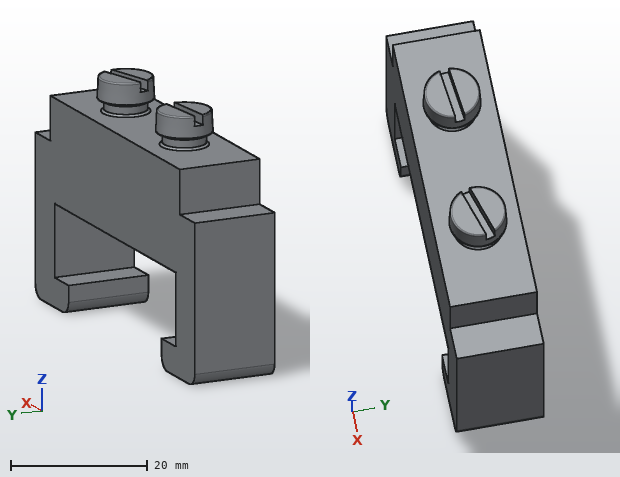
import cadquery as cq

length = 54.2
depth = 13.0
total_height = 37.25
body_height = 31.9
shoulder_height = 25.05
shoulder_width = 5.1
roof_height = 15.8
leg_thickness = 6.55
hook_width = 11.35
hook_height = 4.55
foot_radius = 2.0

screws = [(-9.95, 6.0), (9.9, 16.5)]
collar_diameter = 6.5
collar_height = 1.5
flare_diameter = 7.3
flare_height = 0.3
neck_diameter = 5.2
neck_height = 0.4
head_base_diameter = 8.45
head_top_diameter = 8.15
head_base_chamfer = 0.15
head_top_fillet = 0.2
slot_width = 1.4
slot_depth = 1.5


def make_body():
    half = length / 2
    right_side = [
        (half - shoulder_width, body_height),
        (half - shoulder_width, shoulder_height),
        (half, shoulder_height),
        (half, 0),
        (half - hook_width, 0),
        (half - hook_width, hook_height),
        (half - leg_thickness, hook_height),
        (half - leg_thickness, roof_height),
    ]
    left_side = [(-x, z) for x, z in reversed(right_side)]
    body = (
        cq.Workplane("XZ")
        .polyline(right_side + left_side)
        .close()
        .extrude(depth / 2, both=True)
    )
    return body.faces("<Z").edges("|Y").fillet(foot_radius)


def make_screw(x, slot_angle):
    top = total_height - body_height
    collar_radius = collar_diameter / 2
    neck_radius = neck_diameter / 2
    neck_top = collar_height + neck_height
    head_base_radius = head_base_diameter / 2
    profile = [
        (0, 0),
        (flare_diameter / 2, 0),
        (collar_radius, flare_height),
        (collar_radius, collar_height),
        (neck_radius, collar_height),
        (neck_radius, neck_top),
        (head_base_radius - head_base_chamfer, neck_top),
        (head_base_radius, neck_top + head_base_chamfer),
        (head_top_diameter / 2, top),
        (0, top),
    ]
    screw = cq.Workplane("XZ").polyline(profile).close().revolve(360, (0, 0), (0, 1))
    screw = screw.faces(">Z").edges().fillet(head_top_fillet)
    slot = (
        cq.Workplane("XY")
        .workplane(offset=top - slot_depth)
        .rect(2 * head_base_diameter, slot_width)
        .extrude(slot_depth)
        .rotate((0, 0, 0), (0, 0, 1), slot_angle)
    )
    return screw.cut(slot).translate((x, 0, body_height))


result = make_body()
for screw_x, screw_angle in screws:
    result = result.union(make_screw(screw_x, screw_angle))